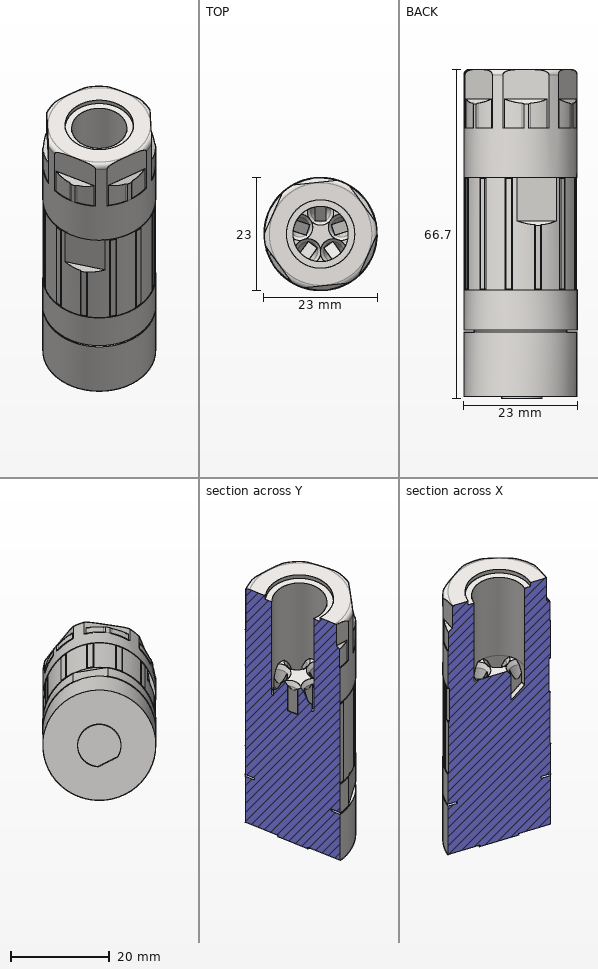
import cadquery as cq
import math

HEIGHT = 66.65
STUB_TOP = 0.4
BARREL_TOP = 13.45
RING_BOTTOM = 13.85
RING_TOP = 22.0
CAP_BOTTOM = 44.8

OUTER_DIAMETER = 23.0
OUTER_R = OUTER_DIAMETER / 2
CAP_R = 11.45
GRIP_R = 11.4
STUB_R = 4.4
STUB_FLAT = 3.8
NECK_R = 9.4

TWIST = 18.0

RIB_ROOT = 0.65

HEX_TWIST = 2 * TWIST
HEX_COUNT = 6
HEX_FLAT = 10.45
HEX_BOTTOM = 54.8
FILLING_TOP = 60.65
FILLING_R = 11.3
TOP_ROUND = 1.05
HEX_RIB_BASE = 1.7
HEX_RIB_TIP = 0.9

GRIP_RIB_COUNT = 12
GRIP_RIB_BASE = 1.5
GRIP_RIB_TIP = 1.1
GRIP_RIB_GAP = 0.2
GRIP_FLAT = 10.6
GRIP_FLAT_BOTTOM = 36.0

RING_FLAT = 10.9

ENTRY_R = 6.9
ENTRY_DEPTH = 1.0
BORE_R = 5.6

SLOT_COUNT = 5
SLOT_CENTER_R = 4.45
MOUTH_R = 2.65
THROAT_R = 2.0
END_R = 1.1
FUNNEL_DEPTH = 1.0
THROAT_DEPTH = 4.0
CHANNEL_DEPTH = 8.0
CHANNEL_WIDTH = 2 * END_R
CHANNEL_FOOT_R = 2.65


def cylinder(radius, bottom, top):
    return cq.Workplane("XY").workplane(offset=bottom).circle(radius).extrude(top - bottom)


def turned(shape, angle):
    return shape.rotate((0, 0, 0), (0, 0, 1), angle)


def outside_flat(flat, bottom, top):
    """Block facing +X that removes everything beyond a flat."""
    return (
        cq.Workplane("XY")
        .box(OUTER_R, OUTER_DIAMETER, top - bottom, centered=(False, True, False))
        .translate((flat, 0, bottom))
    )


def outside_flat_with_ramp(flat, bottom, top):
    """Flat facing +X whose lower end runs out in a 45 degree ramp."""
    profile = [(flat, bottom), (flat + OUTER_R, bottom - OUTER_R), (flat + OUTER_R, top), (flat, top)]
    return cq.Workplane("XZ").polyline(profile).close().extrude(OUTER_R, both=True)


def rib(core_r, tip_r, base_width, tip_width, bottom, top):
    """Tapered rib along +X, rooted inside a cylinder and rounded off at its tip radius."""
    root_r = core_r - RIB_ROOT
    flank_r = math.sqrt(core_r**2 - (base_width / 2) ** 2)
    tip_x = math.sqrt(tip_r**2 - (tip_width / 2) ** 2)
    return (
        cq.Workplane("XY")
        .workplane(offset=bottom)
        .moveTo(root_r, -base_width / 2)
        .lineTo(flank_r, -base_width / 2)
        .lineTo(tip_x, -tip_width / 2)
        .threePointArc((tip_r, 0), (tip_x, tip_width / 2))
        .lineTo(flank_r, base_width / 2)
        .lineTo(root_r, base_width / 2)
        .close()
        .extrude(top - bottom)
    )


def make_cap():
    cap = cylinder(CAP_R, CAP_BOTTOM, HEIGHT).faces(">Z").edges().fillet(TOP_ROUND)
    flat_cut = outside_flat(HEX_FLAT, HEX_BOTTOM, HEIGHT)
    ramp_cut = outside_flat_with_ramp(HEX_FLAT, FILLING_TOP, HEIGHT)
    hex_rib = rib(FILLING_R, CAP_R, HEX_RIB_BASE, HEX_RIB_TIP, HEX_BOTTOM, FILLING_TOP)
    for i in range(HEX_COUNT):
        cap = cap.cut(turned(flat_cut, HEX_TWIST + i * 360 / HEX_COUNT))
    cap = cap.union(cylinder(FILLING_R, HEX_BOTTOM, FILLING_TOP))
    for i in range(HEX_COUNT):
        angle = HEX_TWIST + i * 360 / HEX_COUNT
        cap = cap.union(turned(hex_rib, angle)).cut(turned(ramp_cut, angle))
    return cap


def make_grip():
    grip = cylinder(GRIP_R, RING_TOP, CAP_BOTTOM)
    grip_rib = rib(
        GRIP_R, OUTER_R, GRIP_RIB_BASE, GRIP_RIB_TIP, RING_TOP + GRIP_RIB_GAP, CAP_BOTTOM - GRIP_RIB_GAP
    )
    for i in range(GRIP_RIB_COUNT):
        grip = grip.union(turned(grip_rib, TWIST + i * 360 / GRIP_RIB_COUNT))
    flat_cut = outside_flat_with_ramp(GRIP_FLAT, GRIP_FLAT_BOTTOM, CAP_BOTTOM)
    for angle in (TWIST + 90, TWIST + 270):
        grip = grip.cut(turned(flat_cut, angle))
    return grip


def make_lower_end():
    ring = cylinder(OUTER_R, RING_BOTTOM, RING_TOP)
    ring = ring.cut(turned(outside_flat(RING_FLAT, RING_BOTTOM, RING_TOP), TWIST + 180))
    neck = cylinder(NECK_R, BARREL_TOP, RING_BOTTOM)
    barrel = cylinder(CAP_R, STUB_TOP, BARREL_TOP)
    stub = cylinder(STUB_R, 0, STUB_TOP).cut(outside_flat(STUB_FLAT, 0, STUB_TOP))
    return ring.union(neck).union(barrel).union(stub)


def make_slot():
    """Stepped funnel on +X above a channel whose floor drops at 45 degrees towards the axis."""
    throat = CAP_BOTTOM - FUNNEL_DEPTH
    throat_end = CAP_BOTTOM - THROAT_DEPTH
    foot = CAP_BOTTOM - CHANNEL_DEPTH
    funnel = (
        cq.Workplane("XZ")
        .moveTo(0, throat_end)
        .lineTo(END_R, throat_end)
        .lineTo(THROAT_R, throat)
        .lineTo(MOUTH_R, CAP_BOTTOM)
        .lineTo(0, CAP_BOTTOM)
        .close()
        .revolve(360, (0, 0, 0), (0, 1, 0))
        .translate((SLOT_CENTER_R, 0, 0))
    )
    channel = (
        cq.Workplane("XZ")
        .moveTo(CHANNEL_FOOT_R, foot)
        .lineTo(BORE_R, foot + BORE_R - CHANNEL_FOOT_R)
        .lineTo(BORE_R, throat)
        .lineTo(CHANNEL_FOOT_R, throat)
        .close()
        .extrude(CHANNEL_WIDTH / 2, both=True)
    )
    return funnel.union(channel).intersect(cylinder(BORE_R, foot, CAP_BOTTOM))


result = make_lower_end().union(make_grip()).union(make_cap())
result = result.cut(cylinder(ENTRY_R, HEIGHT - ENTRY_DEPTH, HEIGHT))
result = result.cut(cylinder(BORE_R, CAP_BOTTOM, HEIGHT))
slot_tool = make_slot()
for slot_index in range(SLOT_COUNT):
    result = result.cut(turned(slot_tool, TWIST + slot_index * 360 / SLOT_COUNT))